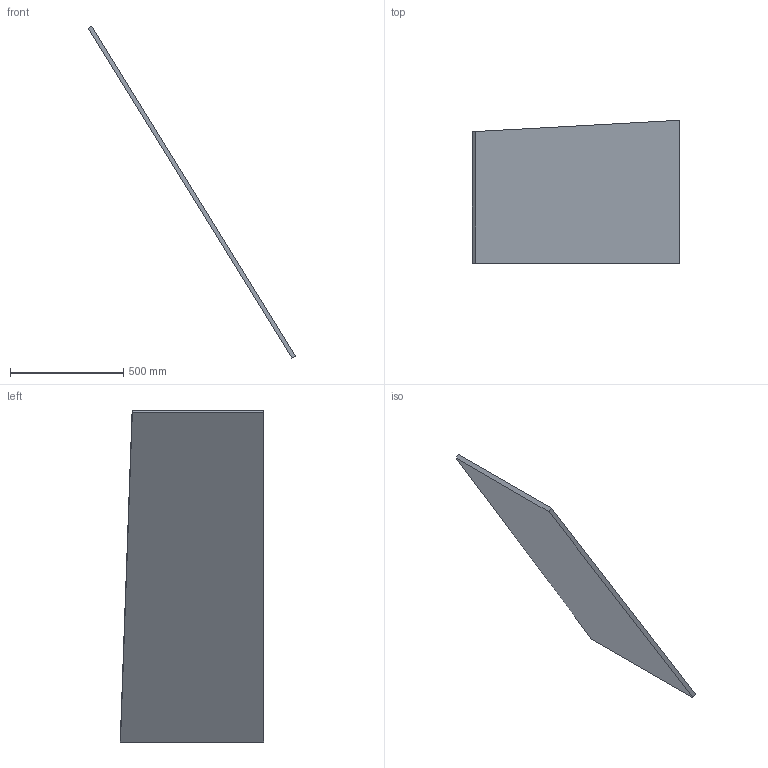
import cadquery as cq
import math

upper_face_length = 1715.22
board_thickness = 20.0
lower_end_width = 634.5
upper_end_width = 582.0
lean_angle = 31.7177

end_bevel = 2.0
side_bevel = 1.0

side_taper = (lower_end_width - upper_end_width) / upper_face_length


def upper_face_width(distance):
    """Width of the upper face at a distance down the slope from its high end."""
    return upper_end_width + side_taper * distance


def face_outline(end_setback, side_setback):
    """Corners of a board face, set back from the outline of the upper face."""
    high_end = end_setback
    low_end = upper_face_length - end_setback
    return [
        (high_end, 0),
        (low_end, 0),
        (low_end, upper_face_width(low_end) - side_setback),
        (high_end, upper_face_width(high_end) - side_setback),
    ]


lean = math.radians(lean_angle)
down_slope = cq.Vector(math.sin(lean), 0, -math.cos(lean))
face_normal = cq.Vector(math.cos(lean), 0, math.sin(lean))

underside = cq.Plane(origin=(0, 0, 0), xDir=down_slope, normal=face_normal)

result = (
    cq.Workplane(underside)
    .polyline(face_outline(end_bevel, side_bevel))
    .close()
    .workplane(offset=board_thickness)
    .polyline(face_outline(0, 0))
    .close()
    .loft(ruled=True)
)